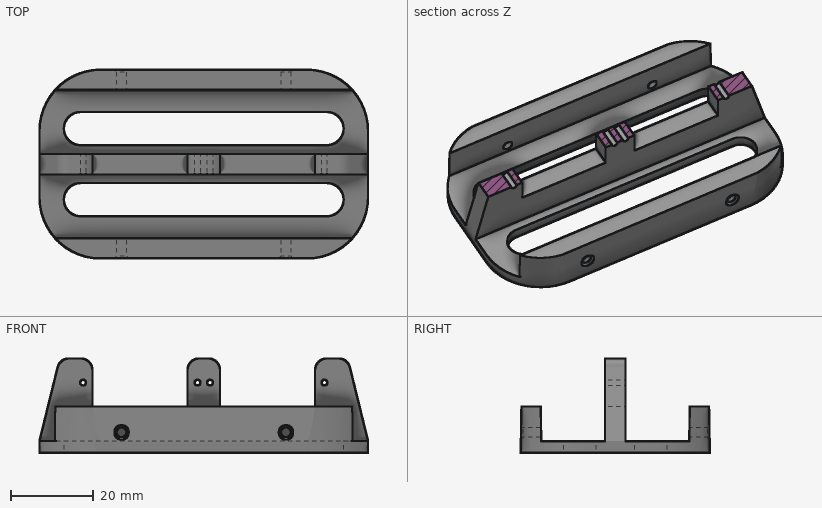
import cadquery as cq
import math

length = 80.0
width = 46.0
base_height = 2.9
corner_radius = 15.0

slot_length = 68.0
slot_width = 8.0
slot_offset = 8.6

wall_top = 11.4
wall_thickness = 5.0
draft_angle = 1.0

screw_x = 20.0
screw_z = 5.0
screw_diameter = 2.4
countersink_diameter = 3.6
countersink_depth = (countersink_diameter - screw_diameter) / 2

web_thickness = 5.0
web_top = 11.4
post_top = 23.0
post_width = 8.0
end_post_inner_x = 27.0
end_post_top_x = 35.0
post_radius = 3.0

pin_diameter = 1.4
pin_z = 17.1
center_pin_x = 1.5
end_pin_x = 29.4


def rounded_block(height):
    """Block with the plan outline of the base."""
    return cq.Workplane("XY").rect(length, width).extrude(height).edges("|Z").fillet(corner_radius)


def base_plate():
    slots = (
        cq.Workplane("XY")
        .pushPoints([(0, -slot_offset), (0, slot_offset)])
        .slot2D(slot_length, slot_width)
        .extrude(base_height)
    )
    return rounded_block(base_height).cut(slots)


def front_wall():
    """Drafted wall on the -Y side, ending on the rounded corners of the base."""
    outer_y = -width / 2
    inner_y = outer_y + wall_thickness
    lean = (wall_top - base_height) * math.tan(math.radians(draft_angle))
    bar = (
        cq.Workplane("YZ")
        .polyline([
            (outer_y, 0),
            (inner_y, 0),
            (inner_y, base_height),
            (inner_y - lean, wall_top),
            (outer_y + lean, wall_top),
            (outer_y, base_height),
        ])
        .close()
        .extrude(length / 2, both=True)
    )
    wall = bar.intersect(rounded_block(wall_top))
    for x in (-screw_x, screw_x):
        wall = wall.cut(screw_hole(x, outer_y))
    return wall


def screw_hole(x, outer_y):
    """Countersunk cutter running inward through the wall."""
    axis_start = cq.Vector(x, outer_y, screw_z)
    inward = cq.Vector(0, 1, 0)
    shank = cq.Solid.makeCylinder(screw_diameter / 2, wall_thickness, axis_start, inward)
    countersink = cq.Solid.makeCone(
        countersink_diameter / 2, screw_diameter / 2, countersink_depth, axis_start, inward
    )
    return cq.Workplane(shank).union(cq.Workplane(countersink))


def web():
    """Upright web along X with a central post and a sloping post at each end."""
    right_side = [
        (length / 2, base_height),
        (end_post_top_x, post_top),
        (end_post_inner_x, post_top),
        (end_post_inner_x, web_top),
        (post_width / 2, web_top),
        (post_width / 2, post_top),
    ]
    left_side = [(-x, z) for x, z in reversed(right_side)]
    body = (
        cq.Workplane("XZ")
        .polyline(right_side + left_side)
        .close()
        .extrude(web_thickness / 2, both=True)
        .faces(">Z")
        .edges("|Y")
        .fillet(post_radius)
    )
    pin_positions = [(side * x, pin_z) for side in (-1, 1) for x in (center_pin_x, end_pin_x)]
    pins = (
        cq.Workplane("XZ")
        .pushPoints(pin_positions)
        .circle(pin_diameter / 2)
        .extrude(web_thickness / 2, both=True)
    )
    return body.cut(pins)


wall = front_wall()
result = base_plate().union(wall).union(wall.mirror("XZ")).union(web()).clean()